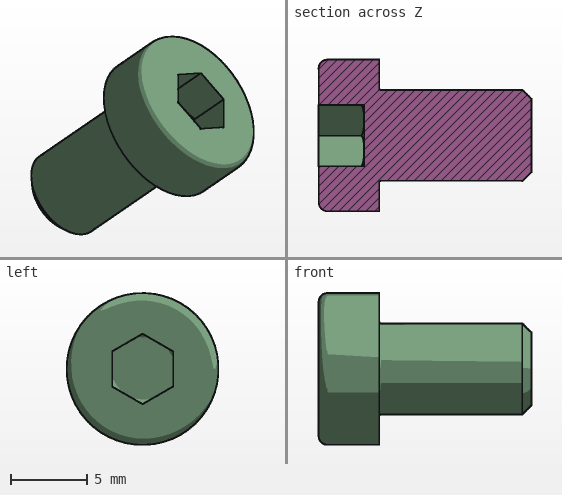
import cadquery as cq
import math

total_length = 14.0
head_diameter = 10.0
head_height = 4.0
head_edge_radius = 0.6
shank_diameter = 6.0
tip_chamfer = 0.6
neck_fillet_radius = 0.1
socket_across_flats = 4.0
socket_depth = 3.0
floor_flat_radius = 1.9
floor_edge_radius = 0.6

head_radius = head_diameter / 2
shank_radius = shank_diameter / 2
head_face_x = -total_length / 2
head_underside_x = head_face_x + head_height
tip_x = total_length / 2


def make_screw_blank():
    """Revolve the half profile of the head and shank about the X axis."""
    corner_offset = head_edge_radius * (1 - math.sqrt(0.5))
    neck_offset = neck_fillet_radius * (1 - math.sqrt(0.5))
    return (
        cq.Workplane("XY")
        .moveTo(head_face_x, 0)
        .lineTo(head_face_x, head_radius - head_edge_radius)
        .threePointArc(
            (head_face_x + corner_offset, head_radius - corner_offset),
            (head_face_x + head_edge_radius, head_radius),
        )
        .lineTo(head_underside_x, head_radius)
        .lineTo(head_underside_x, shank_radius + neck_fillet_radius)
        .threePointArc(
            (head_underside_x + neck_offset, shank_radius + neck_offset),
            (head_underside_x + neck_fillet_radius, shank_radius),
        )
        .lineTo(tip_x - tip_chamfer, shank_radius)
        .lineTo(tip_x, shank_radius - tip_chamfer)
        .lineTo(tip_x, 0)
        .close()
        .revolve(360, (0, 0, 0), (1, 0, 0))
    )


def make_socket():
    """Hexagonal socket with corners toward +Z and -Z and a floor that curves up into the corners."""
    floor_x = head_face_x + socket_depth
    rim_radius = floor_flat_radius + floor_edge_radius
    arc_offset = floor_edge_radius * (1 - math.sqrt(0.5))
    hexagon = (
        cq.Workplane("YZ", origin=(head_face_x, 0, 0))
        .transformed(rotate=(0, 0, 90))
        .polygon(6, 2 * socket_across_flats / math.sqrt(3))
        .extrude(socket_depth)
    )
    round_envelope = (
        cq.Workplane("XY")
        .moveTo(head_face_x, 0)
        .lineTo(head_face_x, rim_radius)
        .lineTo(floor_x - floor_edge_radius, rim_radius)
        .threePointArc(
            (floor_x - arc_offset, rim_radius - arc_offset),
            (floor_x, floor_flat_radius),
        )
        .lineTo(floor_x, 0)
        .close()
        .revolve(360, (0, 0, 0), (1, 0, 0))
    )
    return hexagon.intersect(round_envelope)


result = make_screw_blank().cut(make_socket())